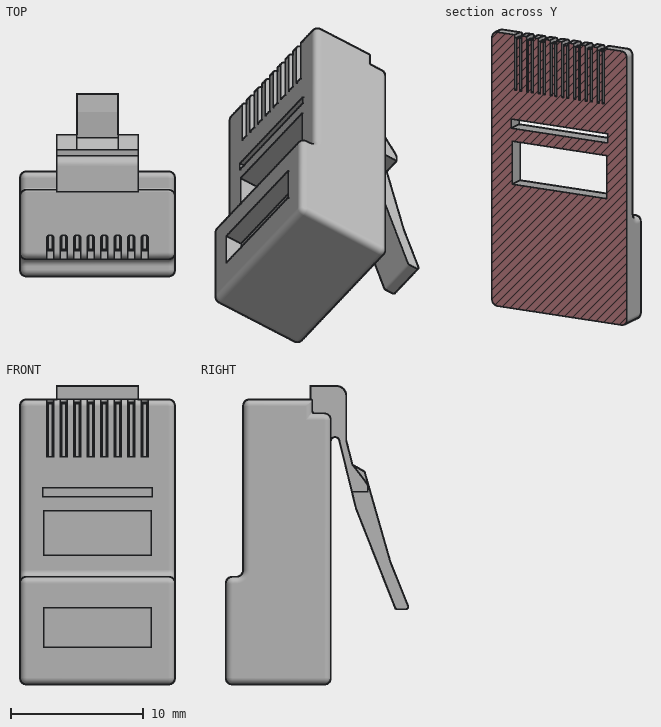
import cadquery as cq


BODY_WIDTH = 11.68
BODY_DEPTH = 7.92
BODY_TOP = 21.47
NOSE_FRONT_Y = 1.3
SHOULDER_Z = 8.12
LEDGE_Y = 6.53
LEDGE_Z = 20.41
EDGE_RADIUS = 0.5
LEDGE_RADIUS = 0.15

CONTACT_COUNT = 8
CONTACT_PITCH = 1.016
SLOT_WIDTH = 0.55
SLOT_BACK_Y = 3.12
SLOT_FLOOR_Z = BODY_TOP - 4.33
BLADE_WIDTH = 0.3
BLADE_FRONT_Y = 1.93
BLADE_TOP_Z = BODY_TOP - 0.23
BLADE_CHAMFER = 0.12

CRIMP_WIDTH = 8.1
UPPER_BACK_Y = 2.95
UPPER_CRIMP_Z = (9.75, 13.08)
LOWER_BACK_Y = 1.35
LOWER_CRIMP_Z = (2.82, 5.8)
BAR_WIDTH = 8.26
BAR_Z = (14.12, 14.8)

LATCH_WIDTH = 6.14
LEVER_WIDTH = 3.12
ROOT_FRONT_Y = 6.37
ROOT_BACK_Y = 9.08
LATCH_TOP = 22.48
ROOT_RADIUS = 0.75
NECK_Z = 18.38
NECK_INNER_Y = 8.54
RELIEF_TOP_Z = 18.62
TIP_OUTER = (13.84, 5.66)
TIP_INNER = (12.79, 5.66)
TIP_RADIUS = 0.2
HOOK_ROOT = (9.55, 16.55)
HOOK_CREST = (10.46, 16.03)
LEVER_OUTER_BEND = (12.4, 9.24)
LEVER_INNER_BEND = (9.8, 13.25)
FLANK_MIDDLE = (10.45, 15.37)
FLANK_CREST = (10.68, 15.02)
FLANK_BOTTOM_Z = 14.52


def slab(outline, width):
    """Extrude a YZ outline to the given width, centred on X = 0."""
    return outline.close().extrude(width / 2, both=True)


def box_between(width, y_range, z_range):
    """Box centred on X = 0 spanning the given Y and Z ranges."""
    depth = y_range[1] - y_range[0]
    height = z_range[1] - z_range[0]
    return (
        cq.Workplane("XY")
        .box(width, depth, height, centered=(True, False, False))
        .translate((0, y_range[0], z_range[0]))
    )


def edge_across(y, z):
    """Selector for the body edge that runs along X through (y, z)."""
    return cq.selectors.NearestToPointSelector((0, y, z))


def make_body():
    outline = (
        cq.Workplane("YZ")
        .moveTo(0, 0)
        .lineTo(BODY_DEPTH, 0)
        .lineTo(BODY_DEPTH, LEDGE_Z)
        .lineTo(LEDGE_Y, LEDGE_Z)
        .lineTo(LEDGE_Y, BODY_TOP)
        .lineTo(NOSE_FRONT_Y, BODY_TOP)
        .lineTo(NOSE_FRONT_Y, SHOULDER_Z)
        .lineTo(0, SHOULDER_Z)
    )
    body = slab(outline, BODY_WIDTH)
    body = body.edges(edge_across(NOSE_FRONT_Y, SHOULDER_Z)).fillet(EDGE_RADIUS)
    side_edges = body.faces("<X or >X").edges()
    outer_corners = [
        (0, 0),
        (BODY_DEPTH, 0),
        (BODY_DEPTH, LEDGE_Z),
        (NOSE_FRONT_Y, BODY_TOP),
        (0, SHOULDER_Z),
    ]
    rounded_edges = side_edges
    for y, z in outer_corners:
        rounded_edges = rounded_edges.add(body.edges(edge_across(y, z)))
    body = body.newObject(rounded_edges.vals()).fillet(EDGE_RADIUS)
    for z in (BODY_TOP, LEDGE_Z):
        body = body.edges(edge_across(LEDGE_Y, z)).fillet(LEDGE_RADIUS)
    return body


def contact_slot():
    round_centre_y = SLOT_BACK_Y - SLOT_WIDTH / 2
    return (
        cq.Workplane("XY", origin=(0, 0, SLOT_FLOOR_Z))
        .moveTo(-SLOT_WIDTH / 2, 0)
        .lineTo(SLOT_WIDTH / 2, 0)
        .lineTo(SLOT_WIDTH / 2, round_centre_y)
        .threePointArc((0, SLOT_BACK_Y), (-SLOT_WIDTH / 2, round_centre_y))
        .close()
        .extrude(BODY_TOP - SLOT_FLOOR_Z)
    )


def contact_blade():
    blade = box_between(BLADE_WIDTH, (BLADE_FRONT_Y, SLOT_BACK_Y), (SLOT_FLOOR_Z, BLADE_TOP_Z))
    return blade.edges("|X").edges("<Y and >Z").chamfer(BLADE_CHAMFER)


def inner_edge_y(z):
    """Y of the lever's inner edge at height z, between the neck and the bend."""
    bend_y, bend_z = LEVER_INNER_BEND
    return NECK_INNER_Y + (bend_y - NECK_INNER_Y) * (NECK_Z - z) / (NECK_Z - bend_z)


def latch_root_and_flanks():
    """Full-width part of the latch: the root block, the neck and the flanks of the hook."""
    arch_middle_y = (BODY_DEPTH + NECK_INNER_Y) / 2
    outline = (
        cq.Workplane("YZ")
        .moveTo(ROOT_FRONT_Y, NECK_Z)
        .lineTo(ROOT_FRONT_Y, LATCH_TOP)
        .lineTo(ROOT_BACK_Y - ROOT_RADIUS, LATCH_TOP)
        .radiusArc((ROOT_BACK_Y, LATCH_TOP - ROOT_RADIUS), ROOT_RADIUS)
        .lineTo(ROOT_BACK_Y, NECK_Z)
        .lineTo(*HOOK_ROOT)
        .lineTo(*FLANK_MIDDLE)
        .lineTo(*FLANK_CREST)
        .lineTo(FLANK_CREST[0], FLANK_BOTTOM_Z)
        .lineTo(inner_edge_y(FLANK_BOTTOM_Z), FLANK_BOTTOM_Z)
        .lineTo(NECK_INNER_Y, NECK_Z)
        .threePointArc((arch_middle_y, RELIEF_TOP_Z), (BODY_DEPTH, NECK_Z))
    )
    return slab(outline, LATCH_WIDTH)


def latch_lever():
    """Narrow part of the latch: the hook and the finger lever below it."""
    hook_root_z = HOOK_ROOT[1]
    outline = (
        cq.Workplane("YZ")
        .moveTo(*HOOK_ROOT)
        .lineTo(*HOOK_CREST)
        .lineTo(*LEVER_OUTER_BEND)
        .lineTo(*TIP_OUTER)
        .lineTo(*TIP_INNER)
        .lineTo(*LEVER_INNER_BEND)
        .lineTo(inner_edge_y(hook_root_z), hook_root_z)
    )
    lever = slab(outline, LEVER_WIDTH)
    return lever.faces("<Z").edges("|X").fillet(TIP_RADIUS)


def make_plug():
    plug = make_body()
    for index in range(CONTACT_COUNT):
        x = (index - (CONTACT_COUNT - 1) / 2) * CONTACT_PITCH
        plug = plug.cut(contact_slot().translate((x, 0, 0)))
        plug = plug.union(contact_blade().translate((x, 0, 0)))
    plug = plug.cut(box_between(BAR_WIDTH, (NOSE_FRONT_Y, UPPER_BACK_Y), BAR_Z))
    plug = plug.cut(box_between(CRIMP_WIDTH, (NOSE_FRONT_Y, UPPER_BACK_Y), UPPER_CRIMP_Z))
    plug = plug.cut(box_between(CRIMP_WIDTH, (0, LOWER_BACK_Y), LOWER_CRIMP_Z))
    return plug.union(latch_root_and_flanks()).union(latch_lever())


result = make_plug()